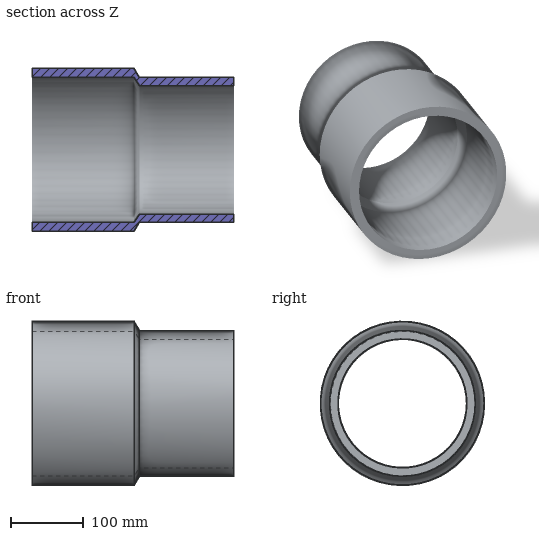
import cadquery as cq

total_length = 277.0
wide_length = 140.0
narrow_length = 130.0
wide_outer_diameter = 225.0
wide_bore_diameter = 198.3
narrow_outer_diameter = 200.0
narrow_bore_diameter = 176.2

wide_end = -total_length / 2
narrow_end = total_length / 2
taper_start = wide_end + wide_length
taper_end = narrow_end - narrow_length


def stepped_solid(wide_diameter, narrow_diameter):
    """Solid of revolution about X: wide cylinder, short cone, narrow cylinder."""
    wide_radius = wide_diameter / 2
    narrow_radius = narrow_diameter / 2
    return (
        cq.Workplane("XY")
        .moveTo(wide_end, 0)
        .lineTo(wide_end, wide_radius)
        .lineTo(taper_start, wide_radius)
        .lineTo(taper_end, narrow_radius)
        .lineTo(narrow_end, narrow_radius)
        .lineTo(narrow_end, 0)
        .close()
        .revolve(360, (0, 0, 0), (1, 0, 0))
    )


body = stepped_solid(wide_outer_diameter, narrow_outer_diameter)
bore = stepped_solid(wide_bore_diameter, narrow_bore_diameter)
result = body.cut(bore)